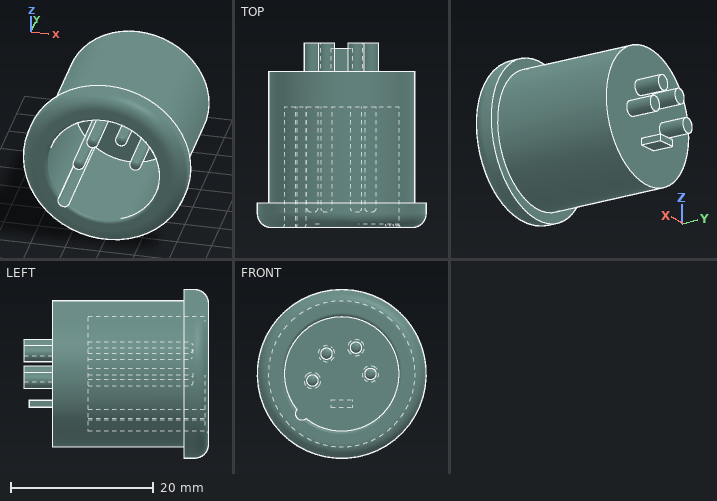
import cadquery as cq

body_radius = 10.3
body_length = 22.0
flange_radius = 11.9
flange_thickness = 3.5
flange_fillet = 2.0
bore_radius = 8.05
bore_depth = 17.0
bore_mouth_fillet = 0.5

key_radius = 0.9
key_offset = 5.6

pin_radius = 0.8
pin_tip_fillet = 0.6
pin_tip_setback = 2.2
terminal_radius = 1.15
terminal_length = 4.0
pin_positions = [(4.04, 0.0), (2.0, 3.7), (-2.14, 2.85), (-4.13, -0.93)]

tab_width = 3.0
tab_thickness = 1.0
tab_length = 3.25
tab_center_z = -4.2

overall_length = body_length + terminal_length
face_y = -overall_length / 2
rear_y = face_y + body_length
floor_y = face_y + bore_depth


def cylinder(x, z, radius, start_y, end_y):
    """Solid cylinder parallel to Y."""
    axis = cq.Vector(0, 1, 0)
    start = cq.Vector(x, start_y, z)
    return cq.Workplane(obj=cq.Solid.makeCylinder(radius, end_y - start_y, start, axis))


def make_shell():
    """Flanged barrel with a blind bore rounded at its mouth."""
    flange = cylinder(0, 0, flange_radius, face_y, face_y + flange_thickness)
    flange = flange.faces("<Y").edges().fillet(flange_fillet)
    barrel = cylinder(0, 0, body_radius, face_y + flange_thickness, rear_y)
    bore = cylinder(0, 0, bore_radius, face_y, floor_y)
    shell = flange.union(barrel).cut(bore)
    mouth = cq.selectors.RadiusNthSelector(0)
    return shell.faces("<Y").edges(mouth).fillet(bore_mouth_fillet)


def make_keyway():
    return cylinder(-key_offset, -key_offset, key_radius, face_y, floor_y)


def make_contact(x, z):
    """Round-tipped pin in the bore and its thicker terminal behind the rear face."""
    pin = cylinder(x, z, pin_radius, face_y + pin_tip_setback, rear_y)
    pin = pin.faces("<Y").edges().fillet(pin_tip_fillet)
    terminal = cylinder(x, z, terminal_radius, floor_y, rear_y + terminal_length)
    return pin.union(terminal)


def make_tab():
    """Flat tab standing out of the rear face, rooted in the floor of the bore."""
    end_y = rear_y + tab_length
    length = end_y - floor_y
    tab = cq.Workplane("XY").box(tab_width, length, tab_thickness)
    return tab.translate((0, end_y - length / 2, tab_center_z))


result = make_shell().cut(make_keyway())
for pin_x, pin_z in pin_positions:
    result = result.union(make_contact(pin_x, pin_z))
result = result.union(make_tab())